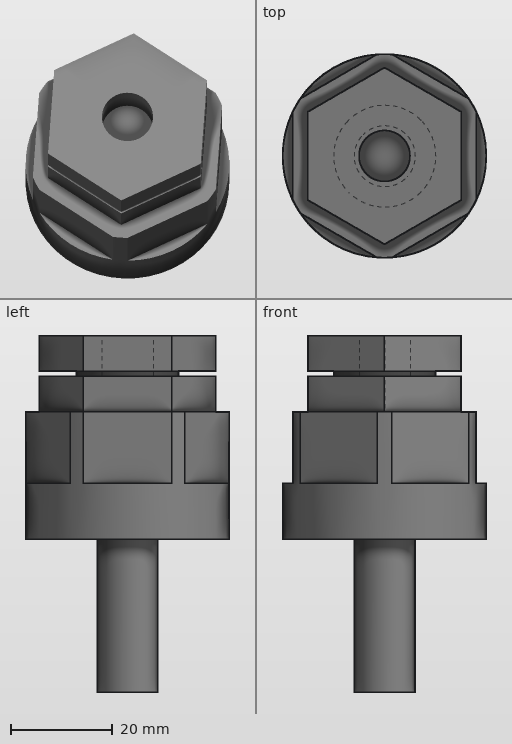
import cadquery as cq
import math

stem_length = 30.0
flange_height = 11.0
large_hex_height = 14.0
small_hex_height = 7.0
neck_height = 1.0

stem_diameter = 12.0
flange_diameter = 40.0
large_hex_flats = 36.0
small_hex_flats = 30.0
neck_diameter = 20.0
bore_diameter = 10.0

flange_top = stem_length + flange_height
large_hex_top = flange_top + large_hex_height
housing_top = large_hex_top + small_hex_height
neck_top = housing_top + neck_height


def cylinder(diameter, height, base):
    return cq.Workplane("XY", origin=(0, 0, base)).circle(diameter / 2).extrude(height)


def hex_prism(across_flats, height, base):
    """Hexagonal prism with two flats facing +X and -X and corners on the Y axis."""
    across_corners = across_flats / math.cos(math.pi / 6)
    return (
        cq.Workplane("XY", origin=(0, 0, base))
        .transformed(rotate=(0, 0, 30))
        .polygon(6, across_corners)
        .extrude(height)
    )


def make_housing():
    """Stem, round flange, large hexagon with turned corners, and small hexagon."""
    stem = cylinder(stem_diameter, stem_length, 0)
    flange = cylinder(flange_diameter, flange_height, stem_length)
    corner_limit = cylinder(flange_diameter, large_hex_height, flange_top)
    large_hex = hex_prism(large_hex_flats, large_hex_height, flange_top).intersect(corner_limit)
    small_hex = hex_prism(small_hex_flats, small_hex_height, large_hex_top)
    return stem.union(flange).union(large_hex).union(small_hex)


def make_hex_head():
    """Bored hexagonal head whose round neck rests on the housing."""
    neck = cylinder(neck_diameter, neck_height, housing_top)
    head = hex_prism(small_hex_flats, small_hex_height, neck_top)
    bore = cylinder(bore_diameter, neck_height + small_hex_height, housing_top)
    return neck.union(head).cut(bore)


housing = make_housing()
hex_head = make_hex_head()

result = cq.Compound.makeCompound([housing.solids().val(), hex_head.solids().val()])